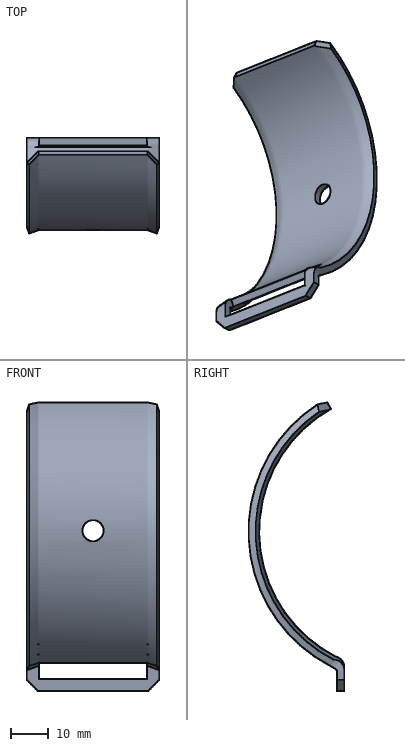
import cadquery as cq
import math

thickness = 2.0
outer_radius = 39.0
inner_radius = outer_radius - thickness
overall_height = 76.0
height_above_axis = 34.0
bottom_z = height_above_axis - overall_height
upper_end_angle = math.degrees(math.asin(height_above_axis / outer_radius))
lower_end_angle = 62.6
hole_diameter = 5.5
hole_z = 0.2

overall_width = 35.0
half_width = overall_width / 2
flare_angle = math.radians(20.0)
bend_start_x = 14.33
bend_inside_radius = 0.5
bend_outside_radius = bend_inside_radius + thickness
bend_center_radius = outer_radius + bend_inside_radius
upper_corner_cut = half_width - bend_start_x

wing_tip_x = half_width - thickness * math.sin(flare_angle)
bend_end_x = bend_start_x + bend_inside_radius * math.sin(flare_angle)
bend_rise = bend_inside_radius * (1 - math.cos(flare_angle))
wing_tip_radius = outer_radius + bend_rise + (wing_tip_x - bend_end_x) * math.tan(flare_angle)
wing_root_radius = wing_tip_radius - thickness * math.cos(flare_angle)

overall_depth = 25.28
back_y = overall_depth - wing_tip_radius
front_y = back_y - thickness
slot_half_width = 14.2
bar_height = 3.2
lower_corner_cut = 3.0
arm_outer_z = bottom_z + 5.45
arm_inner_z = bottom_z + 6.65
crease_x = 14.85

bulge_y = back_y - 0.6
bulge_inner_z = bottom_z + 8.0
bulge_outer_z = bottom_z + 7.2
fold_y = front_y - 0.5
fold_outer_x = half_width - 0.25
fold_inner_z = bottom_z + 6.85
fold_outer_z = bottom_z + 5.85


def on_arc(x, radius, degrees):
    """Point at a radius about the X axis, at an angle measured from -Y toward +Z."""
    angle = math.radians(degrees)
    return (x, -radius * math.cos(angle), radius * math.sin(angle))


def bend_point(side, radius, angle):
    """Point on a flange bend, at an angle from the start of the bend, in the XY plane."""
    x = side * (bend_start_x + radius * math.sin(angle))
    return (x, bend_center_radius - radius * math.cos(angle))


def curved_sheet():
    """Flared cross-section swept about the X axis between the two end angles."""
    inside = bend_inside_radius
    outside = bend_outside_radius
    half_bend = flare_angle / 2
    section = (
        cq.Workplane("XY")
        .moveTo(-bend_start_x, outer_radius)
        .lineTo(bend_start_x, outer_radius)
        .threePointArc(bend_point(1, inside, half_bend), bend_point(1, inside, flare_angle))
        .lineTo(wing_tip_x, wing_tip_radius)
        .lineTo(half_width, wing_root_radius)
        .lineTo(*bend_point(1, outside, flare_angle))
        .threePointArc(bend_point(1, outside, half_bend), (bend_start_x, inner_radius))
        .lineTo(-bend_start_x, inner_radius)
        .threePointArc(bend_point(-1, outside, half_bend), bend_point(-1, outside, flare_angle))
        .lineTo(-half_width, wing_root_radius)
        .lineTo(-wing_tip_x, wing_tip_radius)
        .lineTo(*bend_point(-1, inside, flare_angle))
        .threePointArc(bend_point(-1, inside, half_bend), (-bend_start_x, outer_radius))
        .close()
    )
    sheet = section.revolve(upper_end_angle + lower_end_angle, (0, 0, 0), (1, 0, 0))
    return sheet.rotate((0, 0, 0), (1, 0, 0), 180 - upper_end_angle)


def upper_corner_wedge(side):
    """Wedge taking one upper corner off a flange, square to the sheet at its upper end."""
    end_plane = cq.Plane(
        origin=(0, 0, 0),
        xDir=(1, 0, 0),
        normal=on_arc(0, 1, upper_end_angle),
    )
    far_x = half_width + upper_corner_cut
    wedge = [
        (side * bend_start_x, 0),
        (side * far_x, -2 * upper_corner_cut),
        (side * far_x, upper_corner_cut),
        (side * bend_start_x, upper_corner_cut),
    ]
    return cq.Workplane(end_plane).polyline(wedge).close().extrude(wing_tip_radius + thickness)


def strap_loop():
    """Flat U-shaped plate with cut lower corners and two arms."""
    right_half = [
        (half_width - lower_corner_cut, bottom_z),
        (half_width, bottom_z + lower_corner_cut),
        (half_width, arm_outer_z),
        (slot_half_width, arm_inner_z),
        (slot_half_width, bottom_z + bar_height),
    ]
    left_half = [(-x, z) for x, z in reversed(right_half)]
    plate = cq.Workplane("XZ", origin=(0, back_y, 0))
    return plate.polyline(right_half + left_half).close().extrude(thickness)


def between(start, end, fraction):
    """Value a fraction of the way from start to end."""
    return start + (end - start) * fraction


def arm_bend(side):
    """Twisted bend from the top of one loop arm to the lower end of its flange."""
    crease_fraction = (crease_x - slot_half_width) / (half_width - slot_half_width)
    arm_top = [
        (slot_half_width, front_y, arm_inner_z),
        (half_width, front_y, arm_outer_z),
        (half_width, back_y, arm_outer_z),
        (crease_x, back_y, between(arm_inner_z, arm_outer_z, crease_fraction)),
        (slot_half_width, back_y, arm_inner_z),
    ]
    bend_middle = [
        (slot_half_width, fold_y, fold_inner_z),
        (fold_outer_x, fold_y, fold_outer_z),
        (half_width, bulge_y, bulge_outer_z),
        (crease_x, bulge_y, between(bulge_inner_z, bulge_outer_z, crease_fraction)),
        (slot_half_width, bulge_y, bulge_inner_z),
    ]
    crease_end_x, crease_end_radius = bend_point(1, bend_outside_radius, flare_angle)
    flange_end = [
        on_arc(bend_start_x, outer_radius, -lower_end_angle),
        on_arc(wing_tip_x, wing_tip_radius, -lower_end_angle),
        on_arc(half_width, wing_root_radius, -lower_end_angle),
        on_arc(crease_end_x, crease_end_radius, -lower_end_angle),
        on_arc(bend_start_x, inner_radius, -lower_end_angle),
    ]
    sections = []
    for corners in (arm_top, bend_middle, flange_end):
        points = [cq.Vector(side * x, y, z) for x, y, z in corners]
        sections.append(cq.Wire.makePolygon(points, close=True))
    return cq.Workplane(cq.Solid.makeLoft(sections))


result = curved_sheet().union(strap_loop())
for side in (-1, 1):
    result = result.cut(upper_corner_wedge(side)).union(arm_bend(side))

hole = cq.Workplane("XZ").center(0, hole_z).circle(hole_diameter / 2).extrude(outer_radius + thickness)
result = result.cut(hole)